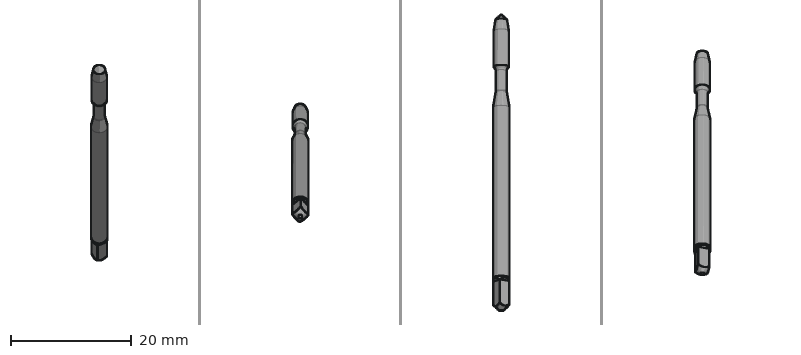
import cadquery as cq
import math

total_length = 50.75
drive_end_height = 5.0
shank_start = 5.65
shank_end = 34.8
neck_start = 37.5
head_start = 41.75
lead_start = 47.9

shank_diameter = 2.8
drive_diameter = 2.7
head_diameter = 2.6
neck_diameter = 1.9
tip_diameter = 2.0
drive_tip_diameter = 0.65

square_width = 2.0
neck_blend_radius = 0.9

shank_radius = shank_diameter / 2
drive_radius = drive_diameter / 2
head_radius = head_diameter / 2
neck_radius = neck_diameter / 2
tip_radius = tip_diameter / 2
drive_tip_radius = drive_tip_diameter / 2

drive_chamfer_end = drive_radius - drive_tip_radius
shank_chamfer_start = shank_start - (shank_radius - drive_radius)
head_shoulder_start = head_start - (head_radius - neck_radius)
tip_start = total_length - tip_radius


def blend_points(corner_height, angle):
    """Return neck end, arc midpoint and cone end of a blend turning by angle above the neck."""
    setback = neck_blend_radius * math.tan(angle / 2)
    arc_start = corner_height - setback

    def on_arc(turn):
        radius = neck_radius + neck_blend_radius * (1 - math.cos(turn))
        return radius, arc_start + neck_blend_radius * math.sin(turn)

    return on_arc(0), on_arc(angle / 2), on_arc(angle)


def mirror_height(point, height):
    radius, z = point
    return radius, 2 * height - z


def make_body():
    """Revolve the stepped profile around Z."""
    taper_angle = math.atan2(shank_radius - neck_radius, neck_start - shank_end)
    lower = [mirror_height(p, neck_start) for p in blend_points(neck_start, taper_angle)]
    upper = blend_points(head_shoulder_start, math.pi / 4)
    return (
        cq.Workplane("XZ")
        .moveTo(0, 0)
        .lineTo(drive_tip_radius, 0)
        .lineTo(drive_radius, drive_chamfer_end)
        .lineTo(drive_radius, shank_chamfer_start)
        .lineTo(shank_radius, shank_start)
        .lineTo(shank_radius, shank_end)
        .lineTo(*lower[2])
        .threePointArc(lower[1], lower[0])
        .lineTo(*upper[0])
        .threePointArc(upper[1], upper[2])
        .lineTo(head_radius, head_start)
        .lineTo(head_radius, lead_start)
        .lineTo(tip_radius, tip_start)
        .lineTo(0, total_length)
        .close()
        .revolve(360, (0, 0, 0), (0, 1, 0))
    )


def make_flat_cutter():
    """Cutter for one drive flat on +X, with a 45 degree runout at its upper end."""
    flat_offset = square_width / 2
    outer_offset = shank_diameter
    return (
        cq.Workplane("XZ")
        .moveTo(flat_offset, 0)
        .lineTo(outer_offset, 0)
        .lineTo(outer_offset, drive_end_height + outer_offset - flat_offset)
        .lineTo(flat_offset, drive_end_height)
        .close()
        .extrude(shank_radius, both=True)
    )


body = make_body()
flat_cutter = make_flat_cutter()
for angle in (0, 90, 180, 270):
    body = body.cut(flat_cutter.rotate((0, 0, 0), (0, 0, 1), angle))

result = body